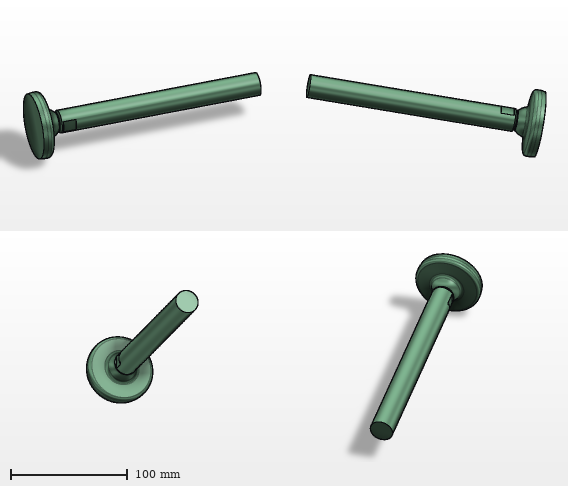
import cadquery as cq
import math


overall_length = 202.0

foot_radius = 57.98 / 2
base_radius = 28.4
base_taper_height = 4.0
rim_top = 7.0
rim_fillet = 3.0
cone_angle = math.radians(8.5)
dome_radius = 13.4
dome_center = 10.0
dome_fillet = 3.2
foot_top_radius = 8.4

shaft_radius = 20.0 / 2
collar_radius = 9.0
collar_height = 0.5
neck_radius = 7.0
shaft_start = 22.7
shoulder_angle = math.radians(20)

flat_width = 17.0
flat_start = 24.0
flat_length = 11.4

foot_top = dome_center + math.sqrt(dome_radius**2 - foot_top_radius**2)


def polar(center, radius, angle):
    """Point at a distance and an angle from the radial direction."""
    return (center[0] + radius * math.cos(angle), center[1] + radius * math.sin(angle))


def revolve_about_y(profile):
    return profile.close().revolve(360, (0, 0, 0), (0, 1, 0))


def make_foot():
    """Foot plate: tapered rim, rounded edge, sloping face and truncated dome."""
    face_normal = math.pi / 2 - cone_angle
    rim_center = (foot_radius - rim_fillet, rim_top)
    dome_origin = (0, dome_center)

    face_distance = (
        rim_center[0] * math.sin(cone_angle)
        + (rim_top - dome_center) * math.cos(cone_angle)
        + rim_fillet
    )
    blend_distance = dome_radius + dome_fillet
    blend_angle = face_normal - math.acos((face_distance + dome_fillet) / blend_distance)
    blend_center = polar(dome_origin, blend_distance, blend_angle)
    face_side = face_normal + math.pi
    dome_side = blend_angle + math.pi
    top_angle = math.acos(foot_top_radius / dome_radius)

    profile = (
        cq.Workplane("XY")
        .lineTo(base_radius, 0)
        .lineTo(foot_radius, base_taper_height)
        .lineTo(foot_radius, rim_top)
        .threePointArc(
            polar(rim_center, rim_fillet, face_normal / 2),
            polar(rim_center, rim_fillet, face_normal),
        )
        .lineTo(*polar(blend_center, dome_fillet, face_side))
        .threePointArc(
            polar(blend_center, dome_fillet, (face_side + dome_side) / 2),
            polar(blend_center, dome_fillet, dome_side),
        )
        .threePointArc(
            polar(dome_origin, dome_radius, (blend_angle + top_angle) / 2),
            (foot_top_radius, foot_top),
        )
        .lineTo(0, foot_top)
    )
    return revolve_about_y(profile)


def make_stem():
    """Stem: collar resting on the foot, neck and shaft with two wrench flats."""
    collar_top = foot_top + collar_height

    corner_height = shaft_start - (shaft_radius - neck_radius) * math.tan(shoulder_angle)
    neck_fillet = (corner_height - collar_top) / math.tan((math.pi / 2 - shoulder_angle) / 2)
    fillet_center = (neck_radius + neck_fillet, collar_top)
    neck_side = math.pi
    shoulder_side = math.pi / 2 + shoulder_angle

    profile = (
        cq.Workplane("XY")
        .moveTo(0, foot_top)
        .lineTo(collar_radius, foot_top)
        .lineTo(collar_radius, collar_top)
        .lineTo(neck_radius, collar_top)
        .threePointArc(
            polar(fillet_center, neck_fillet, (neck_side + shoulder_side) / 2),
            polar(fillet_center, neck_fillet, shoulder_side),
        )
        .lineTo(shaft_radius, shaft_start)
        .lineTo(shaft_radius, overall_length)
        .lineTo(0, overall_length)
    )
    stem = revolve_about_y(profile)

    cut_depth = shaft_radius
    cutter = cq.Workplane("XY").box(cut_depth, flat_length, 2 * shaft_radius)
    cutter_x = (flat_width + cut_depth) / 2
    cutter_y = flat_start + flat_length / 2
    for side in (-1, 1):
        stem = stem.cut(cutter.translate((side * cutter_x, cutter_y, 0)))
    return stem


foot = make_foot()
stem = make_stem()

result = cq.Compound.makeCompound([foot.val(), stem.val()])